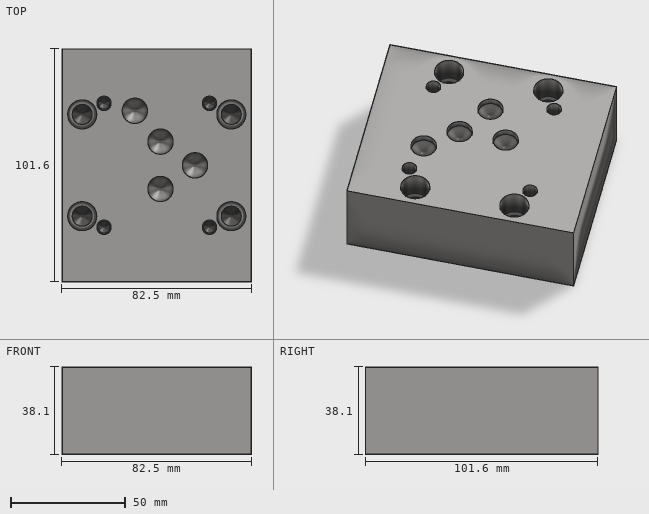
import cadquery as cq
import math

BLOCK_X = 82.5
BLOCK_Y = 101.6
BLOCK_Z = 38.1

DRILL_POINT_ANGLE = 118.0

VALVE_BOLT_SPAN_X = 46.0
VALVE_BOLT_SPAN_Y = 54.1
VALVE_BOLT_BORE_D = 6.3
VALVE_BOLT_BORE_DEPTH = 12.2
VALVE_BOLT_CORE_D = 5.1
VALVE_BOLT_CORE_DEPTH = 16.3

MOUNT_SPAN_X = 65.0
MOUNT_SPAN_Y = 44.4
MOUNT_BORE_D = 12.7
MOUNT_BORE_DEPTH = 12.7
MOUNT_CORE_D = 8.7
MOUNT_CORE_DEPTH = 25.4

PORT_D = 11.1
PORT_DEPTH = 3.1
PRESSURE_PORT_X = 16.7
WORK_PORT_X = 1.6
WORK_PORT_SPAN_Y = 20.6
TANK_PORT_X = -9.5
TANK_PORT_Y = 23.8


def corner_points(span_x, span_y):
    """Four corners of a rectangle centred on the block."""
    return [(sx * span_x / 2, sy * span_y / 2) for sx in (-1, 1) for sy in (-1, 1)]


def drilled_hole(diameter, depth):
    """Cutter for a blind hole from the top face: full diameter to depth, then a drill point."""
    radius = diameter / 2
    point_height = radius / math.tan(math.radians(DRILL_POINT_ANGLE / 2))
    profile = [(0, 0), (radius, 0), (radius, -depth), (0, -depth - point_height)]
    return cq.Workplane("XZ").polyline(profile).close().revolve(360, (0, 0), (0, 1))


def stepped_hole(bore_d, bore_depth, core_d, core_depth):
    """Cutter for a flat-bottomed bore with a drilled core below it."""
    bore = cq.Workplane("XY").circle(bore_d / 2).extrude(-bore_depth)
    return bore.union(drilled_hole(core_d, core_depth))


def cut_at(body, cutter, points):
    """Cut a copy of the cutter into the top face at each point."""
    for x, y in points:
        body = body.cut(cutter.translate((x, y, BLOCK_Z)))
    return body


block = cq.Workplane("XY").box(BLOCK_X, BLOCK_Y, BLOCK_Z, centered=(True, True, False))

valve_bolt_hole = stepped_hole(
    VALVE_BOLT_BORE_D, VALVE_BOLT_BORE_DEPTH, VALVE_BOLT_CORE_D, VALVE_BOLT_CORE_DEPTH
)
block = cut_at(block, valve_bolt_hole, corner_points(VALVE_BOLT_SPAN_X, VALVE_BOLT_SPAN_Y))

mount_hole = stepped_hole(MOUNT_BORE_D, MOUNT_BORE_DEPTH, MOUNT_CORE_D, MOUNT_CORE_DEPTH)
block = cut_at(block, mount_hole, corner_points(MOUNT_SPAN_X, MOUNT_SPAN_Y))

port_points = [
    (PRESSURE_PORT_X, 0),
    (WORK_PORT_X, WORK_PORT_SPAN_Y / 2),
    (WORK_PORT_X, -WORK_PORT_SPAN_Y / 2),
    (TANK_PORT_X, TANK_PORT_Y),
]
result = cut_at(block, drilled_hole(PORT_D, PORT_DEPTH), port_points)